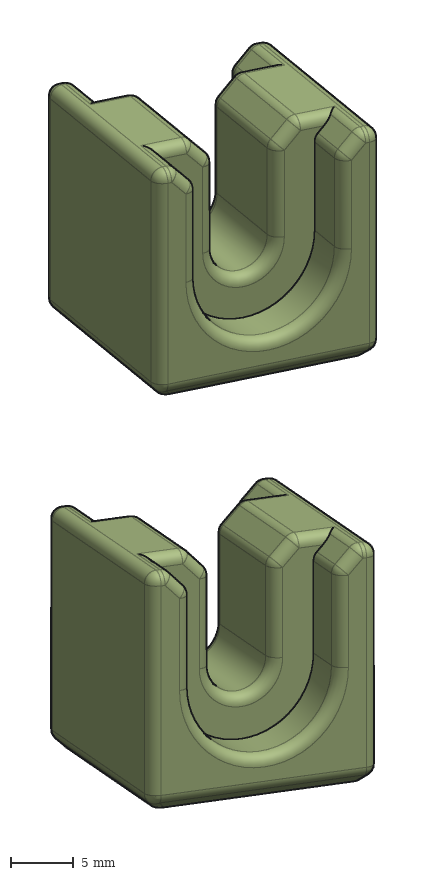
import cadquery as cq

size = 20.0
half = size / 2
edge_radius = 1.02
base_chamfer = 1.0

channel_axis_z = half
wide_channel_radius = 6.35
wide_channel_chamfer = 1.85
narrow_channel_radius = 2.62
narrow_channel_chamfer = 2.05

saddle_length = 11.0
saddle_width = 17.6
saddle_base_z = 2.0


def block(length, width, bottom_z):
    """Box centred on X and Y that reaches up to the top face."""
    return (
        cq.Workplane("XY")
        .workplane(offset=bottom_z)
        .rect(length, width)
        .extrude(size - bottom_z)
    )


def channel(radius, mouth_chamfer):
    """Round-bottomed channel, open upwards, with a mouth widened by 45 degree chamfers."""
    mouth_half_width = radius + mouth_chamfer
    chamfer_start_z = size - mouth_chamfer
    return (
        cq.Workplane("YZ")
        .moveTo(-radius, channel_axis_z)
        .threePointArc((0, channel_axis_z - radius), (radius, channel_axis_z))
        .lineTo(radius, chamfer_start_z)
        .lineTo(mouth_half_width, size)
        .lineTo(-mouth_half_width, size)
        .lineTo(-radius, chamfer_start_z)
        .close()
        .extrude(half, both=True)
    )


body = block(size, size, 0).faces("<Z").edges().chamfer(base_chamfer)
body = body.cut(channel(wide_channel_radius, wide_channel_chamfer))
body = body.edges("not <Z").fillet(edge_radius)

saddle = block(saddle_length, saddle_width, saddle_base_z)
saddle = saddle.cut(channel(narrow_channel_radius, narrow_channel_chamfer))
saddle = saddle.edges("not (<Y or >Y or <Z)").fillet(edge_radius)

result = body.union(saddle).clean()